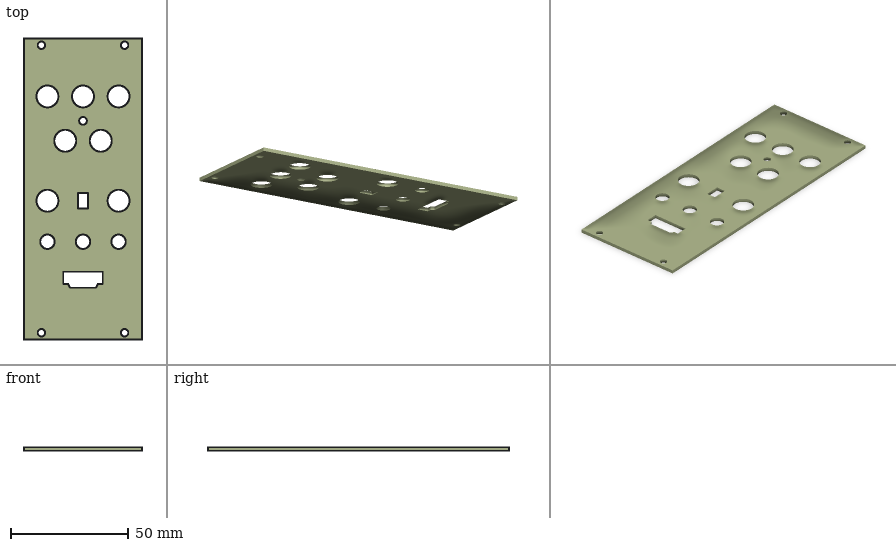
import cadquery as cq

panel_width = 50.5
panel_length = 128.5
panel_thickness = 1.5

mount_diameter = 3.1
mount_spacing_x = 35.5
mount_spacing_y = 122.6

column_pitch = 15.2
large_diameter = 9.3
medium_diameter = 6.0
indicator_diameter = 3.2
upper_row_y = 39.5
indicator_y = 29.0
staggered_row_y = 20.5
middle_row_y = -5.0
lower_row_y = -22.5

switch_width = 4.2
switch_length = 6.5

connector_top_y = -35.3
connector_width = 16.7
connector_shoulder_depth = 5.1
connector_depth = 6.7
connector_taper_width = 12.7
connector_bottom_width = 10.9


def cut_holes(panel, diameter, centers):
    """Drill through holes of one diameter at the given centers."""
    holes = cq.Workplane("XY").pushPoints(centers).circle(diameter / 2).extrude(panel_thickness)
    return panel.cut(holes)


def connector_cutter():
    """Symmetric stepped opening for the connector."""
    shoulder_y = connector_top_y - connector_shoulder_depth
    bottom_y = connector_top_y - connector_depth
    right_side = [
        (connector_width / 2, connector_top_y),
        (connector_width / 2, shoulder_y),
        (connector_taper_width / 2, shoulder_y),
        (connector_bottom_width / 2, bottom_y),
    ]
    left_side = [(-x, y) for x, y in reversed(right_side)]
    return cq.Workplane("XY").polyline(right_side + left_side).close().extrude(panel_thickness)


def row(y, columns):
    """Hole centers at the given column numbers, counted from the centerline."""
    return [(column * column_pitch, y) for column in columns]


panel = cq.Workplane("XY").box(panel_width, panel_length, panel_thickness, centered=(True, True, False))

mount_centers = [
    (side_x * mount_spacing_x / 2, side_y * mount_spacing_y / 2)
    for side_x in (-1, 1)
    for side_y in (-1, 1)
]
large_centers = (
    row(upper_row_y, (-1, 0, 1))
    + row(staggered_row_y, (-0.5, 0.5))
    + row(middle_row_y, (-1, 1))
)
panel = cut_holes(panel, mount_diameter, mount_centers)
panel = cut_holes(panel, large_diameter, large_centers)
panel = cut_holes(panel, medium_diameter, row(lower_row_y, (-1, 0, 1)))
panel = cut_holes(panel, indicator_diameter, [(0, indicator_y)])

switch_cutter = (
    cq.Workplane("XY")
    .center(0, middle_row_y)
    .rect(switch_width, switch_length)
    .extrude(panel_thickness)
)
result = panel.cut(switch_cutter).cut(connector_cutter())